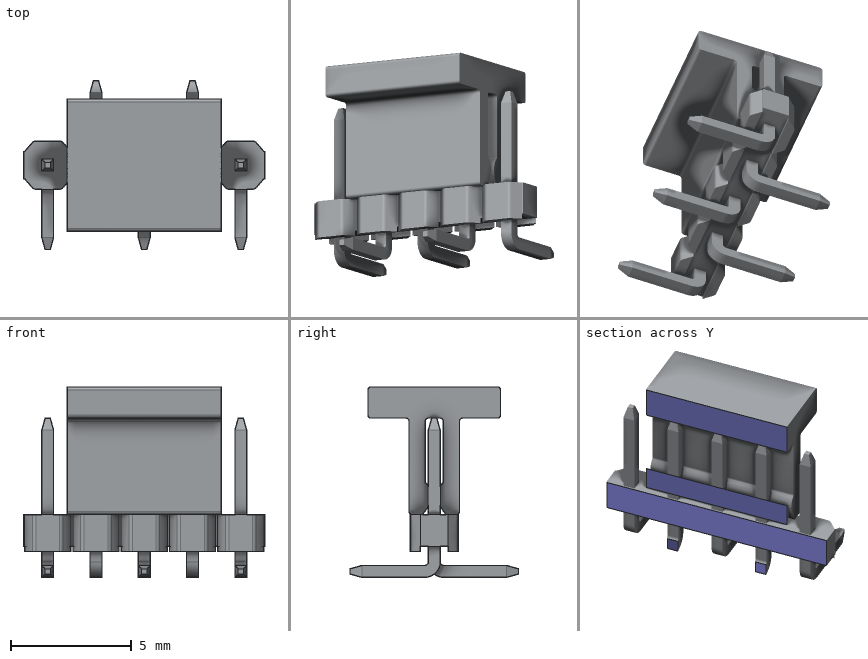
import cadquery as cq
import math


pin_count = 5
pitch = 2.0
pin_width = 0.5
pin_top = 6.6
leg_reach = 3.5
bend_inner_radius = 0.15
bend_outer_radius = bend_inner_radius + pin_width
tip_length = 0.5
tip_width = 0.22

housing_top = 2.6
housing_bottom = 1.07
block_length = 1.91
block_width = 2.0
long_face_width = 1.16
block_edge_radius = 0.2
bar_width = 1.15
channel_depth = 0.22
row_length = pin_count * pitch

cap_length = 6.4
cap_top = 7.9
head_width = 5.5
head_bottom = pin_top
stem_width = 2.1
cap_radius = 0.13
slot_width = 0.74
throat_width = 0.26
throat_height = 3.42
bulge_radius = 0.65
bulge_angle = math.radians(45)
bulge_blend_radius = 0.1
flare_radius = 1.0
flare_angle = math.radians(35)

pin_positions = [(i - (pin_count - 1) / 2) * pitch for i in range(pin_count)]


def tapered_tip(x, y, z, normal):
    """Pyramid-shaped pin end growing from (x, y, z) along normal."""
    taper = math.degrees(math.atan((pin_width - tip_width) / 2 / tip_length))
    base = cq.Plane(origin=(x, y, z), xDir=(1, 0, 0), normal=normal)
    return cq.Workplane(base).rect(pin_width, pin_width).extrude(tip_length, taper=taper)


def make_pin(x, side):
    """Square pin bent at the bottom, with its leg pointing along side * Y."""
    half = pin_width / 2
    shank_top = pin_top - tip_length
    leg_end = leg_reach - tip_length
    diagonal = math.sqrt(0.5)
    bend_y = half + bend_inner_radius
    bend_z = bend_outer_radius

    def at(y, z):
        return (side * y, z)

    def bend_middle(radius):
        return at(bend_y - radius * diagonal, bend_z - radius * diagonal)

    profile = (
        cq.Workplane("YZ", origin=(x - half, 0, 0))
        .moveTo(*at(-half, shank_top))
        .lineTo(*at(-half, bend_z))
        .threePointArc(bend_middle(bend_outer_radius), at(bend_y, 0))
        .lineTo(*at(leg_end, 0))
        .lineTo(*at(leg_end, pin_width))
        .lineTo(*at(bend_y, pin_width))
        .threePointArc(bend_middle(bend_inner_radius), at(half, bend_z))
        .lineTo(*at(half, shank_top))
        .close()
    )
    pin = profile.extrude(pin_width)
    pin = pin.union(tapered_tip(x, 0, shank_top, (0, 0, 1)))
    return pin.union(tapered_tip(x, side * leg_end, half, (0, side, 0)))


def make_block(x):
    """Octagonal housing block with the edges beside its long faces rounded."""
    half_length = block_length / 2
    half_face = long_face_width / 2
    half_width = block_width / 2
    half_bar = bar_width / 2
    outline = [
        (half_length, half_bar),
        (half_face, half_width),
        (-half_face, half_width),
        (-half_length, half_bar),
        (-half_length, -half_bar),
        (-half_face, -half_width),
        (half_face, -half_width),
        (half_length, -half_bar),
    ]
    block = (
        cq.Workplane("XY", origin=(x, 0, housing_bottom))
        .polyline(outline)
        .close()
        .extrude(housing_top - housing_bottom)
    )
    long_face_edges = block.faces("<Y or >Y").edges("|Z")
    return long_face_edges.fillet(block_edge_radius)


def make_housing():
    """Row of blocks on a bar, with a channel below and square pin holes."""
    bar_bottom = housing_bottom + channel_depth
    body = (
        cq.Workplane("XY", origin=(0, 0, bar_bottom))
        .rect(row_length, bar_width)
        .extrude(housing_top - bar_bottom)
    )
    for x in pin_positions:
        body = body.union(make_block(x))

    channel = (
        cq.Workplane("XY", origin=(0, 0, housing_bottom))
        .rect(row_length, bar_width)
        .extrude(channel_depth)
    )
    pin_holes = (
        cq.Workplane("XY", origin=(0, 0, housing_bottom))
        .pushPoints([(x, 0) for x in pin_positions])
        .rect(pin_width, pin_width)
        .extrude(housing_top - housing_bottom)
    )
    return body.cut(channel).cut(pin_holes)


def centred_bar(width, bottom, top):
    """Box of the cap's length, centred on the pin row."""
    plane = cq.Workplane("XY", origin=(0, 0, bottom))
    return plane.rect(cap_length, width).extrude(top - bottom)


def make_slot():
    """Cutter for the slot: straight above, pinched at the throat, flared at the mouth."""
    half_slot = slot_width / 2
    half_throat = throat_width / 2

    def bulge_point(radius, angle):
        """Point on an arc tangent to the crest, at an angle above it (or below, if negative)."""
        y = half_throat + radius * (1 - math.cos(angle))
        return (y, throat_height + radius * math.sin(angle))

    bulge_y, bulge_z = bulge_point(bulge_radius, bulge_angle)
    wall_z = bulge_z + (half_slot - bulge_y) / math.tan(bulge_angle)

    flare_middle = bulge_point(flare_radius, -flare_angle / 2)
    flare_y, flare_z = bulge_point(flare_radius, -flare_angle)
    half_mouth = flare_y + (flare_z - housing_top) * math.tan(flare_angle)

    half_outline = (
        cq.Workplane("YZ", origin=(-cap_length / 2, 0, 0))
        .moveTo(0, head_bottom)
        .lineTo(half_slot, head_bottom)
        .lineTo(half_slot, wall_z)
        .lineTo(bulge_y, bulge_z)
        .threePointArc(bulge_point(bulge_radius, bulge_angle / 2), (half_throat, throat_height))
        .threePointArc(flare_middle, (flare_y, flare_z))
        .lineTo(half_mouth, housing_top)
        .lineTo(0, housing_top)
        .close()
    )
    top_corner = cq.selectors.NearestToPointSelector((0, half_slot, head_bottom))
    wall_foot = cq.selectors.NearestToPointSelector((0, half_slot, wall_z))
    half = half_outline.extrude(cap_length)
    half = half.edges(top_corner).fillet(cap_radius)
    half = half.edges(wall_foot).fillet(bulge_blend_radius)
    return half.union(half.mirror("XZ"))


def make_pin_recess(x):
    """Cutter with the square section of a pin shank, clearing it through the throat."""
    plane = cq.Workplane("XY", origin=(x, 0, housing_top))
    return plane.rect(pin_width, pin_width).extrude(head_bottom - housing_top)


def make_cap():
    """T-shaped pick-up cap with a slot that narrows to grip the pins."""
    head = centred_bar(head_width, head_bottom, cap_top).edges("|X").fillet(cap_radius)
    stem = centred_bar(stem_width, housing_top, cap_top - cap_radius)
    stem = stem.faces("<Z").edges("|X").fillet(cap_radius)
    inner_corner = cq.selectors.BoxSelector(
        (-cap_length, -stem_width / 2 - cap_radius / 2, head_bottom - cap_radius / 2),
        (cap_length, stem_width / 2 + cap_radius / 2, head_bottom + cap_radius / 2),
    )
    body = head.union(stem).edges(inner_corner).edges("|X").fillet(cap_radius)

    body = body.cut(make_slot())
    for x in pin_positions:
        body = body.cut(make_pin_recess(x))
    return body


housing = make_housing()
cap = make_cap()
pins = [make_pin(x, -1 if i % 2 == 0 else 1) for i, x in enumerate(pin_positions)]

result = cq.Compound.makeCompound([housing.val(), cap.val(), *[pin.val() for pin in pins]])